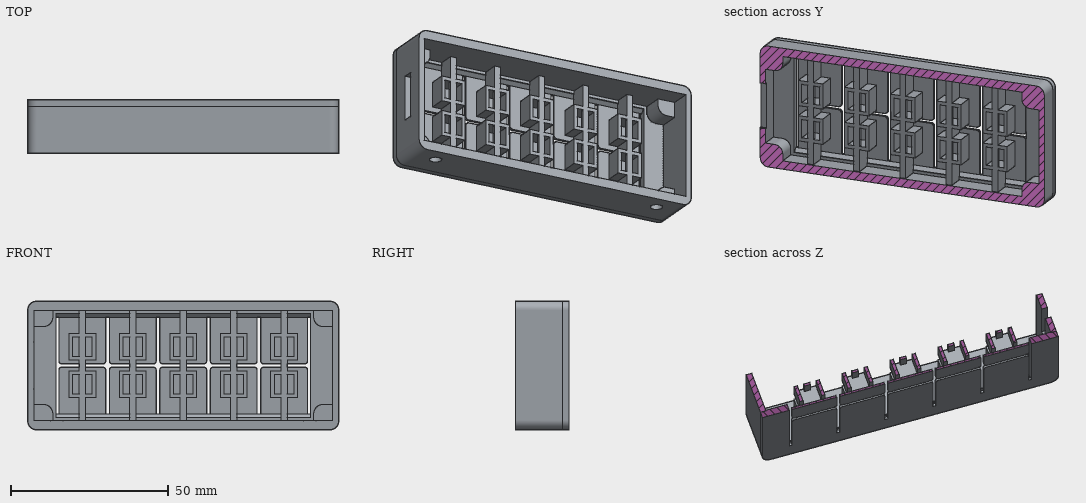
import cadquery as cq
length = 99.0
depth = 17.0
height = 41.0
corner_radius = 3.0

end_wall = 2.0
long_wall = 3.0
inner_length = length - 2 * end_wall
inner_height = height - 2 * long_wall

front = -depth / 2
back = depth / 2
plate_thickness = 2.5
insert_depth = 0.4
plate_front = back - plate_thickness
housing_back = plate_front + insert_depth

window_length = 80.8
window_height = 33.1
window_land = 0.4
window_chamfer = 1.2
key_columns = 5
key_pitch = 16.0
key_width = 14.9
key_gap = 1.0
key_corner_radius = 1.0
key_front = plate_front + window_land + window_chamfer
key_opening_height = window_height - 2 * window_chamfer
key_overlap = 1.0

rib_width = 2.1
rib_depth = 6.0
rib_front = housing_back - rib_depth
tube_size = 8.5
tube_wall = 1.2
tube_bore = tube_size - 2 * tube_wall
tube_offset = 5.9
bar_depth = 1.0

post_length = 6.0
post_height = 5.1
post_depth = 7.2
post_radius = 3.0
post_front = plate_front - post_depth

slot_width = 3.6
slot_height = 15.0
slot_y = -1.1
hole_diameter = 4.0
hole_x = 40.2
hole_y = -2.5

columns = [(i - (key_columns - 1) / 2) * key_pitch for i in range(key_columns)]
sides = (-1, 1)


def block(x_size, y_start, y_end, z_size, x=0.0, z=0.0):
    """Box centred on (x, z) that runs from y_start to y_end."""
    box = cq.Workplane("XY").box(x_size, y_end - y_start, z_size)
    return box.translate((x, (y_start + y_end) / 2, z))


def rounded_block(y_start, y_end):
    """Full outline of the case with its rounded corners."""
    return block(length, y_start, y_end, height).edges("|Y").fillet(corner_radius)


def make_post(side_x, side_z):
    """Post in an inner corner, rounded on its free edge."""
    post = block(
        post_length,
        post_front,
        housing_back,
        post_height,
        side_x * (inner_length - post_length) / 2,
        side_z * (inner_height - post_height) / 2,
    )
    free_side = "<X" if side_x > 0 else ">X"
    free_end = "<Z" if side_z > 0 else ">Z"
    return post.faces(free_side).edges(free_end).fillet(post_radius)


def make_rib(x):
    """Upright rib with two square tubes, each open at the back and crossed by a bar in front."""
    rib = block(rib_width, rib_front, housing_back, inner_height, x)
    for side in sides:
        z = side * tube_offset
        rib = rib.union(block(tube_size, rib_front, housing_back, tube_size, x, z))
    for side in sides:
        z = side * tube_offset
        rib = rib.cut(block(tube_bore, rib_front, housing_back, tube_bore, x, z))
        rib = rib.union(block(rib_width, rib_front, rib_front + bar_depth, tube_size, x, z))
    return rib


def make_housing():
    """Walls, corner posts and ribs."""
    housing = rounded_block(front, housing_back).cut(block(inner_length, front, housing_back, inner_height))
    slot_x = -(length - end_wall) / 2
    slot = block(end_wall, slot_y - slot_width / 2, slot_y + slot_width / 2, slot_height, slot_x)
    housing = housing.cut(slot)
    for side_x in sides:
        hole = cq.Workplane("XY", origin=(side_x * hole_x, hole_y, -height / 2))
        housing = housing.cut(hole.circle(hole_diameter / 2).extrude(long_wall))
        for side_z in sides:
            housing = housing.union(make_post(side_x, side_z))
    for x in columns:
        housing = housing.union(make_rib(x))
    return housing


def make_window():
    """Window through the plate, narrowed towards the back by a chamfer at its top and bottom."""
    z_front = window_height / 2
    z_back = key_opening_height / 2
    chamfer_front = plate_front + window_land
    upper = [(plate_front, z_front), (chamfer_front, z_front), (key_front, z_back), (back, z_back)]
    lower = [(y, -z) for y, z in reversed(upper)]
    profile = cq.Workplane("YZ").polyline(upper + lower).close()
    return profile.extrude(window_length / 2, both=True)


def make_key(x, side_z):
    """Flat key that hangs on the long edge of the window."""
    key_height = (key_opening_height - key_gap) / 2 + key_overlap
    z = side_z * (key_gap + key_height) / 2
    inner_edge = "<Z" if side_z > 0 else ">Z"
    key = block(key_width, key_front, back, key_height, x, z)
    return key.faces(inner_edge).edges("|Y").fillet(key_corner_radius)


def make_face_plate(housing):
    """Face plate with its keys, recessed for the walls, posts and ribs of the housing."""
    plate = rounded_block(plate_front, back).cut(make_window())
    for x in columns:
        for side_z in sides:
            plate = plate.union(make_key(x, side_z))
    return plate.cut(housing)


housing = make_housing()
face_plate = make_face_plate(housing)

result = cq.Compound.makeCompound([housing.solids().val(), face_plate.solids().val()])